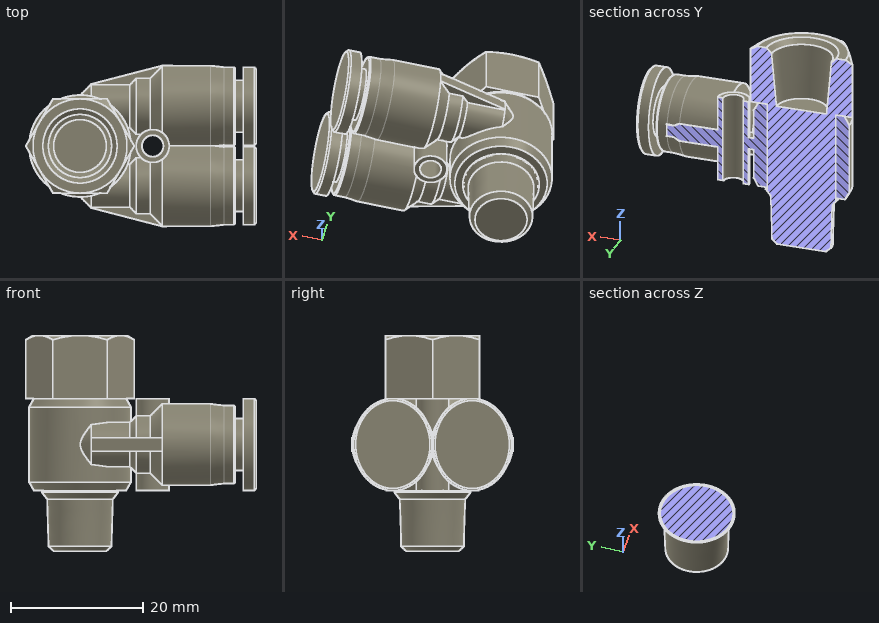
import cadquery as cq
import math


total_length = 34.95
total_height = 32.7

hex_across_flats = 14.25
hex_corner_radius = hex_across_flats / 2 / math.cos(math.pi / 6)
hex_chamfer_angle = math.radians(30)
hex_chamfer_drop = (hex_corner_radius - hex_across_flats / 2) * math.tan(hex_chamfer_angle)
shaft_diameter = 11.1
flare_diameter = 11.6
flare_height = 1.0
thread_top_diameter = 10.0
thread_end_diameter = 9.58
thread_tip_diameter = 7.9
thread_tip_height = 0.77
thread_top_z = 7.95
flare_top_z = thread_top_z + flare_height
socket_mouth_diameter = 11.25
socket_top_diameter = 9.58
socket_floor_diameter = 8.0
socket_chamfer_depth = (socket_mouth_diameter - socket_top_diameter) / 2

barrel_diameter = 15.5
barrel_bottom_z = 9.23
barrel_top_z = 23.17
barrel_height = barrel_top_z - barrel_bottom_z
barrel_chamfer_height = 1.3
barrel_chamfer_width = 0.75
socket_floor_z = barrel_top_z

arm_axis_z = (barrel_bottom_z + barrel_top_z) / 2
arm_axis_y = 6.0
root_radius = 3.4
waist_radius = 4.37
sleeve_radius = 6.2
sleeve_end_radius = 5.95
sleeve_end_chamfer = 0.2
root_start_x = 1.7
waist_start_x = 8.53
waist_end_x = 10.65
sleeve_start_x = waist_end_x + sleeve_radius - waist_radius
taper_start_x = 19.7
taper_end_x = 21.77
sleeve_end_x = 23.52

web_thickness = 2.0
eye_x = 11.0
eye_diameter = 5.0
eye_hole_diameter = 3.2

collar_end_x = total_length - hex_corner_radius
collar_plate_x = 24.7
collar_width = 11.9
collar_height = barrel_height
collar_chamfer = 0.3
collar_neck_diameter = 7.9


def make_stud():
    """Hex head, plain shaft and tapered thread, with a tapered socket in the head."""
    shank_outline = [
        (0, 0),
        (thread_tip_diameter / 2, 0),
        (thread_end_diameter / 2, thread_tip_height),
        (thread_top_diameter / 2, thread_top_z),
        (flare_diameter / 2, flare_top_z),
        (shaft_diameter / 2, flare_top_z),
        (shaft_diameter / 2, barrel_top_z),
        (0, barrel_top_z),
    ]
    shank = cq.Workplane("XZ").polyline(shank_outline).close().revolve(360, (0, 0), (0, 1))

    head_height = total_height - barrel_top_z
    head = (
        cq.Workplane("XY")
        .workplane(offset=barrel_top_z)
        .polygon(6, 2 * hex_corner_radius)
        .extrude(head_height)
    )
    bevel_outline = [
        (0, barrel_top_z),
        (hex_corner_radius, barrel_top_z),
        (hex_corner_radius, total_height - hex_chamfer_drop),
        (hex_across_flats / 2, total_height),
        (0, total_height),
    ]
    bevel = cq.Workplane("XZ").polyline(bevel_outline).close().revolve(360, (0, 0), (0, 1))

    socket_outline = [
        (0, socket_floor_z),
        (socket_floor_diameter / 2, socket_floor_z),
        (socket_top_diameter / 2, total_height - socket_chamfer_depth),
        (socket_mouth_diameter / 2, total_height),
        (0, total_height),
    ]
    socket = cq.Workplane("XZ").polyline(socket_outline).close().revolve(360, (0, 0), (0, 1))
    return shank.union(head.intersect(bevel)).cut(socket)


def make_barrel():
    """Upright cylinder of the swivel body, bevelled at both ends."""
    radius = barrel_diameter / 2
    end_radius = radius - barrel_chamfer_width
    outline = [
        (0, barrel_bottom_z),
        (end_radius, barrel_bottom_z),
        (radius, barrel_bottom_z + barrel_chamfer_height),
        (radius, barrel_top_z - barrel_chamfer_height),
        (end_radius, barrel_top_z),
        (0, barrel_top_z),
    ]
    return cq.Workplane("XZ").polyline(outline).close().revolve(360, (0, 0), (0, 1))


def make_arm(axis_y):
    """Stepped round arm along X, widening from a conical root to the sleeve."""
    outline = [
        (root_start_x - root_radius, 0),
        (root_start_x, root_radius),
        (waist_start_x - (waist_radius - root_radius), root_radius),
        (waist_start_x, waist_radius),
        (waist_end_x, waist_radius),
        (sleeve_start_x, sleeve_radius),
        (taper_start_x, sleeve_radius),
        (taper_end_x, sleeve_end_radius),
        (sleeve_end_x - sleeve_end_chamfer, sleeve_end_radius),
        (sleeve_end_x, sleeve_end_radius - sleeve_end_chamfer),
        (sleeve_end_x, 0),
    ]
    arm = cq.Workplane("XY").polyline(outline).close().revolve(360, (0, 0), (1, 0))
    return arm.translate((0, axis_y, arm_axis_z))


def make_web():
    """Flat plate that fans out along the arm roots and fills the gap between the sleeve tapers."""
    root_y = arm_axis_y + root_radius
    sleeve_y = arm_axis_y + sleeve_radius
    outline = [
        (root_start_x, -root_y),
        (sleeve_start_x, -sleeve_y),
        (sleeve_start_x, -arm_axis_y),
        (taper_end_x, -arm_axis_y),
        (taper_end_x, arm_axis_y),
        (sleeve_start_x, arm_axis_y),
        (sleeve_start_x, sleeve_y),
        (root_start_x, root_y),
    ]
    return (
        cq.Workplane("XY")
        .workplane(offset=arm_axis_z - web_thickness / 2)
        .polyline(outline)
        .close()
        .extrude(web_thickness)
    )


def upright_cylinder(x, diameter):
    """Vertical cylinder as tall as the barrel."""
    return (
        cq.Workplane("XY")
        .workplane(offset=barrel_bottom_z)
        .center(x, 0)
        .circle(diameter / 2)
        .extrude(barrel_height)
    )


def make_swivel_body():
    """Barrel, two arms, web and mounting eye in one piece, bored for the stud."""
    body = make_barrel().union(make_web())
    for side in (-1, 1):
        body = body.union(make_arm(side * arm_axis_y))
    body = body.union(upright_cylinder(eye_x, eye_diameter))
    body = body.cut(upright_cylinder(eye_x, eye_hole_diameter))
    return body.cut(upright_cylinder(0, shaft_diameter))


def make_release_collar(axis_y):
    """Round neck that stands on the sleeve end and carries an oval push plate."""
    neck = (
        cq.Workplane("YZ", origin=(sleeve_end_x, axis_y, arm_axis_z))
        .circle(collar_neck_diameter / 2)
        .extrude(collar_plate_x - sleeve_end_x)
    )
    plate = (
        cq.Workplane("YZ", origin=(collar_plate_x, axis_y, arm_axis_z))
        .ellipse(collar_width / 2, collar_height / 2)
        .extrude(collar_end_x - collar_plate_x)
        .faces(">X")
        .chamfer(collar_chamfer)
    )
    return neck.union(plate)


stud = make_stud()
swivel_body = make_swivel_body()
release_collars = [make_release_collar(side * arm_axis_y) for side in (-1, 1)]

result = cq.Compound.makeCompound(
    [stud.val(), swivel_body.val(), *[collar.val() for collar in release_collars]]
)